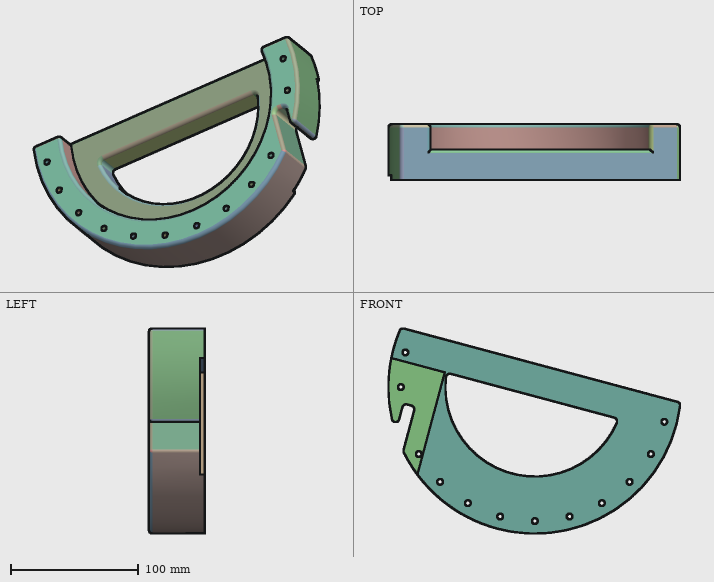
import cadquery as cq
import math

TILT = 15.0
DEPTH = 44.0
OUTER_RADIUS = 115.0
BAR_TOP = 17.9
BAR_BOTTOM = -7.0
EDGE_RADIUS = 3.0

WINDOW_RADIUS = 70.0
POCKET_RADIUS = 90.0
PLATE_THICKNESS = 24.0

STEP_DEPTH = 3.7
STEP_RIGHT = -71.2

SLOT_RIGHT = -86.7
SLOT_WIDTH = 9.4
SLOT_TOP = -39.1
HOOK_TIP = -55.0

HOLE_DIAMETER = 4.3
HOLE_CIRCLE_RADIUS = 105.0
HOLE_STEP = 15.0
HOLE_COUNT = 13

MARGIN = 11.5


def box(x_range, y_range, z_range):
    """Box spanning the given ranges."""
    size = [high - low for low, high in (x_range, y_range, z_range)]
    corner = (x_range[0], y_range[0], z_range[0])
    return cq.Workplane("XY").box(*size, centered=False).translate(corner)


def disc_segment(radius, chord_height, start, end):
    """Part of a Y-axis disc lying below a horizontal chord."""
    half_chord = math.sqrt(radius**2 - chord_height**2)
    return (
        cq.Workplane("XZ", origin=(0, start, 0))
        .moveTo(-half_chord, chord_height)
        .lineTo(half_chord, chord_height)
        .threePointArc((0, -radius), (-half_chord, chord_height))
        .close()
        .extrude(start - end)
    )


def hook_outline_body():
    """Half disc with the open slot that forms the hook, all corners rounded."""
    far_left = -OUTER_RADIUS - MARGIN
    through = (-MARGIN, DEPTH + MARGIN)
    body = disc_segment(OUTER_RADIUS, BAR_TOP, 0, DEPTH)
    slot = box((SLOT_RIGHT - SLOT_WIDTH, SLOT_RIGHT), through, (-OUTER_RADIUS, SLOT_TOP))
    below_hook = box((far_left, SLOT_RIGHT), through, (-OUTER_RADIUS, HOOK_TIP))
    return body.cut(slot).cut(below_hook).edges("|Y").fillet(EDGE_RADIUS)


def back_pocket():
    """Round pocket open at the back and through the top of the bar."""
    return disc_segment(POCKET_RADIUS, BAR_TOP, PLATE_THICKNESS, DEPTH)


def window():
    """Half-round opening under the bar."""
    opening = disc_segment(WINDOW_RADIUS, BAR_BOTTOM, -MARGIN, DEPTH)
    return opening.edges("|Y").fillet(EDGE_RADIUS)


def front_step():
    """Shallow recess below the bar, around the hook."""
    return box(
        (-OUTER_RADIUS - MARGIN, STEP_RIGHT),
        (-MARGIN, STEP_DEPTH),
        (-OUTER_RADIUS - MARGIN, BAR_BOTTOM),
    )


def rim_holes():
    """Through holes evenly spaced along the rim, symmetric about the bar's normal."""
    first_angle = 270 - HOLE_STEP * (HOLE_COUNT - 1) / 2
    angles = [math.radians(first_angle + i * HOLE_STEP) for i in range(HOLE_COUNT)]
    centres = [(HOLE_CIRCLE_RADIUS * math.cos(a), HOLE_CIRCLE_RADIUS * math.sin(a)) for a in angles]
    return (
        cq.Workplane("XZ", origin=(0, -MARGIN, 0))
        .pushPoints(centres)
        .circle(HOLE_DIAMETER / 2)
        .extrude(-DEPTH - 2 * MARGIN)
    )


body = hook_outline_body().cut(back_pocket()).cut(window())

pocket_mouth = cq.selectors.BoxSelector(
    (-POCKET_RADIUS, PLATE_THICKNESS - EDGE_RADIUS, BAR_TOP - EDGE_RADIUS),
    (POCKET_RADIUS, DEPTH - EDGE_RADIUS, BAR_TOP + EDGE_RADIUS),
)
window_back = cq.selectors.BoxSelector(
    (-WINDOW_RADIUS - EDGE_RADIUS, PLATE_THICKNESS - EDGE_RADIUS, -WINDOW_RADIUS - EDGE_RADIUS),
    (WINDOW_RADIUS + EDGE_RADIUS, PLATE_THICKNESS + EDGE_RADIUS, BAR_BOTTOM + EDGE_RADIUS),
    boundingbox=True,
)
rounded_edges = body.faces(">Y").edges().add(body.edges(pocket_mouth)).add(body.edges(window_back))
body = rounded_edges.fillet(EDGE_RADIUS)

body = body.cut(front_step()).cut(rim_holes())
result = body.rotate((0, 0, 0), (0, 1, 0), TILT)